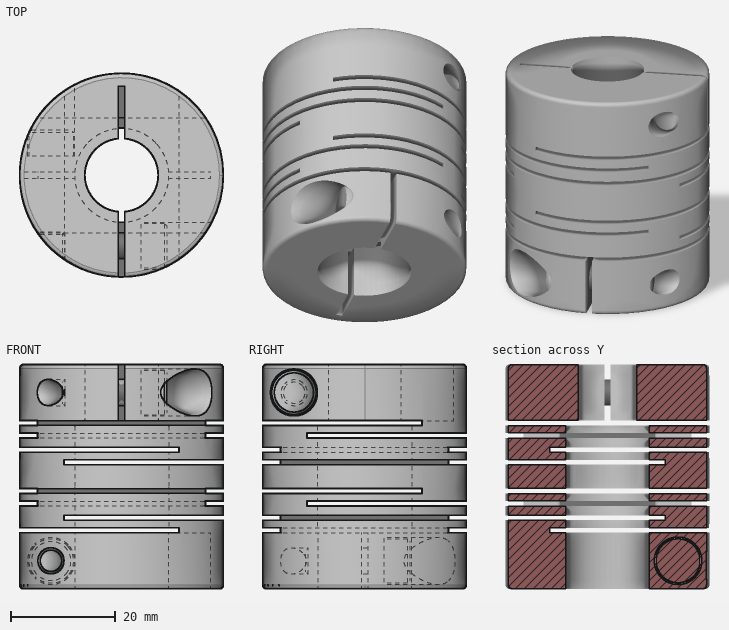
import cadquery as cq


outer_diameter = 39.0
length = 43.0
rim_fillet = 0.8
top_bore_diameter = 14.0
lower_bore_diameter = 18.0

hub_length = 10.8
slit_width = 0.9
slit_reach = 11.0
pair_pitch = 2.4
pair_spacing = 5.1

split_width = 1.2
split_reach = 17.0
screw_offset = 13.5
screw_diameter = 5.0
screw_length = 15.0
screw_tip_chamfer = 0.45
head_diameter = 8.5
head_height = 5.0
head_chamfer = 0.5
counterbore_diameter = 9.0
head_top = 8.7

outer_radius = outer_diameter / 2
overshoot = outer_diameter
hub_bottom = length - hub_length
screw_height = length - hub_length / 2
head_seat = head_top - head_height
first_slit = hub_length + slit_width / 2
second_slit = first_slit + pair_pitch
third_slit = first_slit + pair_spacing
fourth_slit = third_slit + pair_pitch

slits = [
    (length - first_slit, "-Y"),
    (length - second_slit, "+Y"),
    (length - third_slit, "-X"),
    (length - fourth_slit, "+X"),
    (fourth_slit, "-Y"),
    (third_slit, "+Y"),
    (second_slit, "+X"),
    (first_slit, "-X"),
]
side_angles = {"-Y": 0, "+X": 90, "+Y": 180, "-X": 270}


def make_body():
    """Cylinder with rounded rims and a bore that narrows in the top hub."""
    body = cq.Workplane("XY").circle(outer_radius).extrude(length)
    body = body.faces("<Z or >Z").edges().fillet(rim_fillet)
    lower_bore = cq.Workplane("XY").circle(lower_bore_diameter / 2).extrude(hub_bottom)
    top_bore = cq.Workplane("XY").circle(top_bore_diameter / 2).extrude(length)
    return body.cut(lower_bore).cut(top_bore)


def slot_from_front(width, reach, bottom, height):
    """Rectangular cutter open towards -Y and ending at Y = reach."""
    return (
        cq.Workplane("XY", origin=(0, reach, bottom))
        .rect(width, 2 * overshoot)
        .extrude(height)
        .translate((0, -overshoot, 0))
    )


def make_slit(mid_height, side):
    """One flexure slit, opening to the named side."""
    slit = slot_from_front(2 * overshoot, slit_reach, mid_height - slit_width / 2, slit_width)
    return slit.rotate((0, 0, 0), (0, 0, 1), side_angles[side])


def rod_along_x(diameter, start, rod_length):
    """Cylinder on the top hub's screw axis, from X = start towards +X."""
    origin = (start, -screw_offset, screw_height)
    return cq.Workplane("YZ", origin=origin).circle(diameter / 2).extrude(rod_length)


def make_clamp_cutters():
    """Split, screw hole and counterbore of the top hub."""
    split = slot_from_front(split_width, split_reach, hub_bottom, hub_length)
    hole = rod_along_x(screw_diameter, -overshoot, overshoot + head_seat)
    counterbore = rod_along_x(counterbore_diameter, head_seat, overshoot)
    return split.union(hole).union(counterbore)


def make_screw():
    """Cap screw of the top hub, with its head towards +X."""
    shank = rod_along_x(screw_diameter, head_seat - screw_length, screw_length)
    shank = shank.faces("<X").chamfer(screw_tip_chamfer)
    head = rod_along_x(head_diameter, head_seat, head_height)
    head = head.faces(">X").edges().chamfer(head_chamfer)
    return shank.union(head)


def to_bottom_hub(shape):
    """Half turn about the diagonal X = Y at mid length: swaps X with Y and flips Z."""
    return shape.rotate((0, 0, length / 2), (1, 1, length / 2), 180)


result = make_body()

for mid_height, side in slits:
    result = result.cut(make_slit(mid_height, side))

clamp_cutters = make_clamp_cutters()
result = result.cut(clamp_cutters).cut(to_bottom_hub(clamp_cutters))

screw = make_screw()
result = result.union(screw).union(to_bottom_hub(screw))